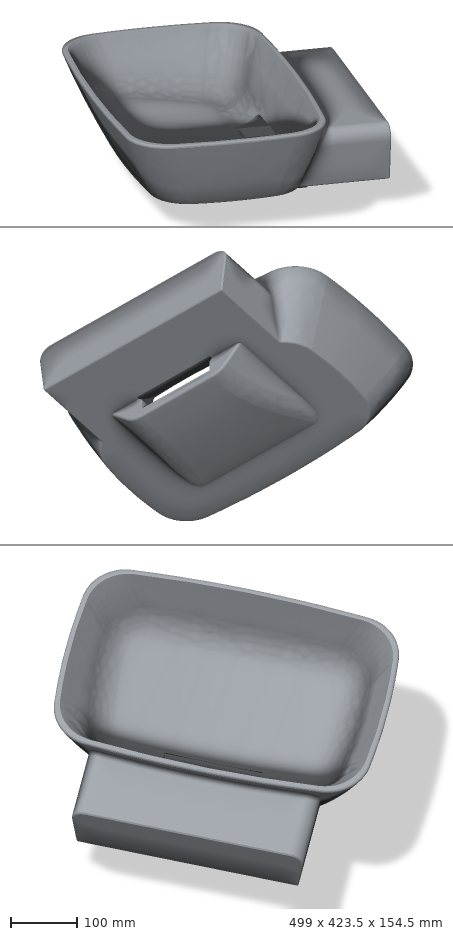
import cadquery as cq
import math


width = 499.0
depth = 423.5
height = 154.5
wall_plane = depth / 2
base_z = 39.0
small_round = 2.0
base_round = 3.0

side_bulge = 12.5
rim_back = 114.5
rim_thickness = 8.0
rim_lip = 4.5
rim_outer_round = 3.5

floor_fillet = 47.5
floor_z = 49.5
floor_fall = 0.128
floor_dish_radius = 1397.0

box_top_half_width = 181.5
box_bottom_half_width = 171.5
box_top = 127.5
box_round = 21.0
box_front = 0.0
neck_fillet = 5.0

trough_back = 107.0
trough_half_width = 124.0
trough_round = 40.0
trough_back_round = 4.0
trough_flat_end = 97.0
trough_front_slope = 0.26
trough_front = -97.5
trough_overlap = 7.5

slot_mouth_front = 35.5
slot_mouth_half_width = 76.0
slot_half_width = 65.0
slot_lip_round = 11.0
slot_corner_round = 10.0
slot_back = 75.0
slot_back_z = 67.5
slot_exit_bottom = 13.5


def bowl_outline(z, half_width, front, back, corner_radius):
    """Closed wire: four gently bulging sides joined by round corners."""
    x = half_width - side_bulge
    y_front = front + side_bulge
    y_back = back - side_bulge
    y_middle = (front + back) / 2
    sharp = (
        cq.Workplane("XY", origin=(0, 0, z))
        .moveTo(-x, y_front)
        .threePointArc((0, front), (x, y_front))
        .threePointArc((half_width, y_middle), (x, y_back))
        .threePointArc((0, back), (-x, y_back))
        .threePointArc((-half_width, y_middle), (-x, y_front))
        .close()
        .wire()
        .val()
    )
    return sharp.fillet2D(corner_radius, sharp.Vertices())


def loft_outlines(*outlines):
    return cq.Workplane(cq.Solid.makeLoft(list(outlines)))


def make_bowl_body():
    """Flared outside of the bowl with a short upright lip and a rounded rim."""
    body = loft_outlines(
        bowl_outline(base_z, 202.0, -161.0, 85.0, 60.0),
        bowl_outline((base_z + height) / 2, 228.5, -190.0, 102.0, 64.0),
        bowl_outline(height - rim_lip, width / 2, -wall_plane, rim_back, 67.5),
    )
    body = body.faces(">Z").wires().toPending().extrude(rim_lip)
    return body.faces(">Z").edges().fillet(rim_outer_round)


def make_box():
    """Box between bowl and wall: round top edges, sides leaning inward to the bottom."""
    section = [
        (-box_bottom_half_width, base_z),
        (-box_top_half_width, box_top),
        (box_top_half_width, box_top),
        (box_bottom_half_width, base_z),
    ]
    return (
        cq.Workplane("XZ", origin=(0, wall_plane, 0))
        .polyline(section)
        .close()
        .extrude(wall_plane - box_front)
        .edges("|Y and >Z")
        .fillet(box_round)
        .faces(">Y")
        .edges()
        .chamfer(small_round)
    )


def make_trough():
    """45-degree sided trough whose bottom is flat at the back and rises to the front."""
    top_z = base_z + trough_overlap
    front_tip = trough_front - trough_overlap / trough_front_slope
    side_profile = (
        cq.Workplane("YZ")
        .moveTo(trough_back, top_z)
        .lineTo(trough_back, 0)
        .lineTo(trough_flat_end, 0)
        .spline([(front_tip, top_z)], tangents=[(-1, 0), (-1, trough_front_slope)], includeCurrent=True)
        .close()
        .extrude(trough_half_width + trough_overlap, both=True)
    )
    top_half = trough_half_width + trough_overlap
    bottom_half = trough_half_width - base_z
    trapezoid = (
        cq.Workplane("XZ", origin=(0, wall_plane, 0))
        .polyline([(-top_half, top_z), (top_half, top_z), (bottom_half, 0), (-bottom_half, 0)])
        .close()
        .extrude(depth)
    )
    return (
        side_profile.intersect(trapezoid)
        .edges(cq.selectors.BoxSelector((-depth, -depth, -5), (depth, trough_back - 5, top_z - 5)))
        .edges("not |X")
        .fillet(trough_round)
        .faces(">Y")
        .edges("not >Z")
        .fillet(trough_back_round)
    )


def make_cavity():
    """Space inside the bowl, bounded below by a tilted, slightly dished floor."""
    t = rim_thickness
    inside = loft_outlines(
        bowl_outline(base_z - 10, 176.5, -149.5, 71.5, 52.5),
        bowl_outline(82.5, 201.5, -174.0, 81.0, 60.0),
        bowl_outline(height, width / 2 - t, t - wall_plane, rim_back - t, 65.0),
    )
    above_floor = (
        cq.Workplane("XZ", origin=(0, depth, 0))
        .center(0, floor_dish_radius)
        .circle(floor_dish_radius)
        .extrude(2 * depth)
        .rotate((0, 0, 0), (1, 0, 0), -math.degrees(math.atan(floor_fall)))
        .translate((0, 0, floor_z))
    )
    return inside.intersect(above_floor).faces("<Z").edges().fillet(floor_fillet)


def make_slot():
    """Drain passage with a rounded lip, falling from the floor to the back of the trough."""
    exit_y = trough_back + 5
    mouth_z = floor_z - floor_fall * slot_mouth_front
    lip_y = slot_mouth_front + slot_lip_round
    lip_z = mouth_z - slot_lip_round
    passage = (
        cq.Workplane("YZ")
        .moveTo(slot_back, slot_back_z)
        .lineTo(slot_mouth_front, slot_back_z)
        .lineTo(slot_mouth_front, mouth_z)
        .radiusArc((lip_y, lip_z), slot_lip_round)
        .lineTo(exit_y, slot_exit_bottom)
        .lineTo(exit_y, base_z)
        .close()
        .extrude(slot_mouth_half_width, both=True)
    )
    half_section = [
        (slot_half_width, 0),
        (slot_half_width, lip_z),
        (slot_mouth_half_width, mouth_z),
        (slot_mouth_half_width, slot_back_z),
    ]
    flared_ends = (
        cq.Workplane("XZ", origin=(0, wall_plane, 0))
        .polyline(half_section + [(-x, z) for x, z in reversed(half_section)])
        .close()
        .extrude(depth)
        .edges("|Y and >Z")
        .fillet(slot_corner_round)
    )
    return passage.intersect(flared_ends)


outer = make_bowl_body().union(make_box())
neck_zone = cq.selectors.BoxSelector(
    (-box_top_half_width, box_front, base_z + 5),
    (box_top_half_width, rim_back - 5, box_top + 5),
)
outer = outer.edges(neck_zone).fillet(neck_fillet)
outer = outer.faces("<Z").edges().fillet(base_round)
result = outer.union(make_trough()).cut(make_cavity()).cut(make_slot())